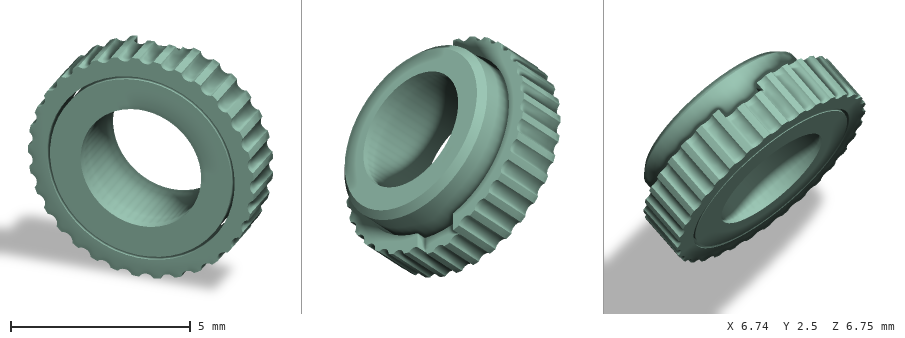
import cadquery as cq

ring_diameter = 6.75
ring_bore = 5.6
ring_width = 1.5
flute_count = 33
flute_radius = 0.25
flute_circle_diameter = 7.0
slot_width = 1.35
slot_depth = 0.305

sleeve_diameter = 5.43
sleeve_bore = 3.6
sleeve_length = 2.5
sleeve_chamfer = 0.2

AXIS_PLANE = cq.Plane(origin=(0, 0, 0), xDir=(1, 0, 0), normal=(0, 1, 0))


def tube(outer_diameter, inner_diameter, length):
    """Plain hollow cylinder along +Y."""
    return (
        cq.Workplane(AXIS_PLANE)
        .circle(outer_diameter / 2)
        .circle(inner_diameter / 2)
        .extrude(length)
    )


def flutes():
    """Round cutters spaced evenly about the axis, with one flute centred on +X."""
    return (
        cq.Workplane(AXIS_PLANE)
        .polarArray(flute_circle_diameter / 2, 0, 360, flute_count)
        .circle(flute_radius)
        .extrude(ring_width)
    )


def cross_slot():
    """Slot across the back face of the ring, through both walls along Z."""
    return (
        cq.Workplane("XY")
        .box(slot_width, slot_depth, ring_diameter)
        .translate((0, ring_width - slot_depth / 2, 0))
    )


def make_ring():
    """Fluted outer ring with a slotted back face."""
    return tube(ring_diameter, ring_bore, ring_width).cut(flutes()).cut(cross_slot())


def make_sleeve():
    """Inner sleeve, chamfered around the outside of its back end."""
    sleeve = tube(sleeve_diameter, sleeve_bore, sleeve_length)
    outer_back_edge = cq.selectors.RadiusNthSelector(-1)
    return sleeve.faces(">Y").edges(outer_back_edge).chamfer(sleeve_chamfer)


ring = make_ring()
sleeve = make_sleeve()

result = cq.Compound.makeCompound([ring.solids().val(), sleeve.solids().val()])